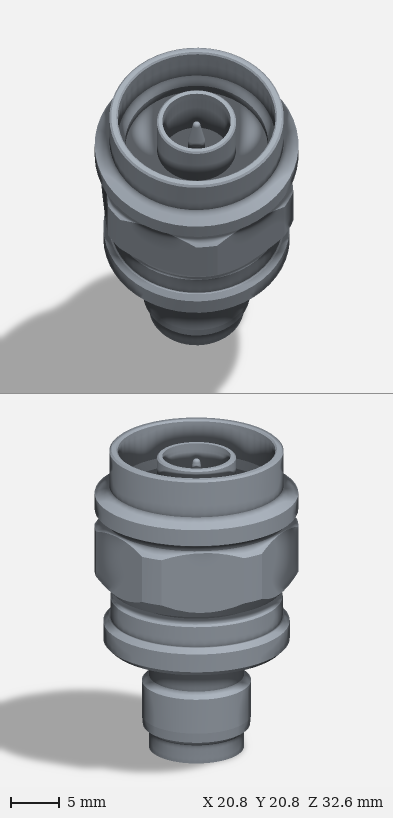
import cadquery as cq
import math


TOTAL_HEIGHT = 32.62

STEM_RADIUS = 4.85
STEM_BAND_RADIUS = 5.58
STEM_BAND_TAPER_RADIUS = 5.48
STEM_BAND_LOWER_CONE_Z = 2.0
STEM_BAND_LOWER_EDGE_Z = 2.5
STEM_BAND_TAPER_Z = 3.55
STEM_BAND_UPPER_EDGE_Z = 7.27
STEM_BAND_TOP_Z = 7.9

FLANGE_RADIUS = 9.53
FLANGE_BOTTOM_Z = 11.32
FLANGE_TOP_Z = 14.32
FLANGE_CHAMFER = 0.52
RING_RADIUS = 8.8
RING_TOP_Z = 16.7
EDGE_CHAMFER = 0.2
NECK_RADIUS = 6.9

BODY_RADIUS = 10.4
HEX_ACROSS_FLATS = 19.02
HEX_BOTTOM_Z = 17.6
HEX_BOTTOM_RADIUS = 8.8
HEX_LOWER_CORNER_Z = 19.28
HEX_UPPER_CORNER_Z = 24.25
HEX_TOP_Z = 25.05

GROOVE_RADIUS = 9.33
GROOVE_TOP_RADIUS = 9.55
GROOVE_TOP_Z = 25.6

COLLAR_BOTTOM_Z = 26.03
COLLAR_EDGE_Z = 27.8
COLLAR_TOP_Z = 28.6
SLEEVE_RADIUS = 8.9

CAVITY_RADIUS = 8.05
CAVITY_MOUTH_CHAMFER = 0.15
CAVITY_FLOOR_RADIUS = 7.3
CAVITY_FLOOR_Z = 27.07
SEAT_TOP_Z = 28.8

TUBE_RADIUS = 4.05
TUBE_CHAMFER = 0.15
TUBE_BORE_RADIUS = 3.5
TUBE_TOP_Z = 31.85
TUBE_FLOOR_Z = 26.03

PIN_RADIUS = 0.88
PIN_TIP_RADIUS = 0.4
PIN_TAPER_Z = 28.55
PIN_TIP_Z = 31.15


def turned(points):
    """Revolve a closed (radius, z) outline about the Z axis."""
    return cq.Workplane("XZ").polyline(points).close().revolve(360, (0, 0), (0, 1))


def make_stem():
    return turned([
        (0, 0),
        (STEM_RADIUS, 0),
        (STEM_RADIUS, STEM_BAND_LOWER_CONE_Z),
        (STEM_BAND_TAPER_RADIUS, STEM_BAND_LOWER_EDGE_Z),
        (STEM_BAND_RADIUS, STEM_BAND_TAPER_Z),
        (STEM_BAND_RADIUS, STEM_BAND_UPPER_EDGE_Z),
        (STEM_RADIUS, STEM_BAND_TOP_Z),
        (STEM_RADIUS, FLANGE_BOTTOM_Z),
        (0, FLANGE_BOTTOM_Z),
    ])


def make_flange():
    flange_face_radius = FLANGE_RADIUS - FLANGE_CHAMFER
    return turned([
        (0, FLANGE_BOTTOM_Z),
        (flange_face_radius, FLANGE_BOTTOM_Z),
        (FLANGE_RADIUS, FLANGE_BOTTOM_Z + FLANGE_CHAMFER),
        (FLANGE_RADIUS, FLANGE_TOP_Z - FLANGE_CHAMFER),
        (flange_face_radius, FLANGE_TOP_Z),
        (RING_RADIUS, FLANGE_TOP_Z),
        (RING_RADIUS, RING_TOP_Z - EDGE_CHAMFER),
        (RING_RADIUS - EDGE_CHAMFER, RING_TOP_Z),
        (NECK_RADIUS, RING_TOP_Z),
        (NECK_RADIUS, HEX_BOTTOM_Z),
        (0, HEX_BOTTOM_Z),
    ])


def make_hexagon():
    """Round blank with conical ends, trimmed to six flats; two flats face -Y and +Y."""
    blank = turned([
        (0, HEX_BOTTOM_Z),
        (HEX_BOTTOM_RADIUS, HEX_BOTTOM_Z),
        (BODY_RADIUS, HEX_LOWER_CORNER_Z),
        (BODY_RADIUS, HEX_UPPER_CORNER_Z),
        (GROOVE_RADIUS, HEX_TOP_Z),
        (0, HEX_TOP_Z),
    ])
    across_corners = HEX_ACROSS_FLATS / math.cos(math.pi / 6)
    prism = (
        cq.Workplane("XY", origin=(0, 0, HEX_BOTTOM_Z))
        .polygon(6, across_corners)
        .extrude(HEX_TOP_Z - HEX_BOTTOM_Z)
    )
    return blank.intersect(prism)


def make_sleeve():
    """Concave groove, collar and the plain sleeve above it, still solid inside."""
    groove_width = GROOVE_TOP_RADIUS - GROOVE_RADIUS
    groove_height = GROOVE_TOP_Z - HEX_TOP_Z
    arc_radius = (groove_width**2 + groove_height**2) / (2 * groove_width)
    half_angle = math.atan2(groove_width, groove_height)
    groove_middle = (
        GROOVE_RADIUS + arc_radius * (1 - math.cos(half_angle)),
        HEX_TOP_Z + arc_radius * math.sin(half_angle),
    )
    return (
        cq.Workplane("XZ")
        .moveTo(0, HEX_TOP_Z)
        .lineTo(GROOVE_RADIUS, HEX_TOP_Z)
        .threePointArc(groove_middle, (GROOVE_TOP_RADIUS, GROOVE_TOP_Z))
        .lineTo(BODY_RADIUS, COLLAR_BOTTOM_Z)
        .lineTo(BODY_RADIUS, COLLAR_EDGE_Z)
        .lineTo(SLEEVE_RADIUS, COLLAR_TOP_Z)
        .lineTo(SLEEVE_RADIUS, TOTAL_HEIGHT - EDGE_CHAMFER)
        .lineTo(SLEEVE_RADIUS - EDGE_CHAMFER, TOTAL_HEIGHT)
        .lineTo(0, TOTAL_HEIGHT)
        .close()
        .revolve(360, (0, 0), (0, 1))
    )


def make_cavity():
    seat_bottom_z = SEAT_TOP_Z - (CAVITY_RADIUS - CAVITY_FLOOR_RADIUS)
    return turned([
        (0, CAVITY_FLOOR_Z),
        (CAVITY_FLOOR_RADIUS, CAVITY_FLOOR_Z),
        (CAVITY_FLOOR_RADIUS, seat_bottom_z),
        (CAVITY_RADIUS, SEAT_TOP_Z),
        (CAVITY_RADIUS, TOTAL_HEIGHT - CAVITY_MOUTH_CHAMFER),
        (CAVITY_RADIUS + CAVITY_MOUTH_CHAMFER, TOTAL_HEIGHT),
        (0, TOTAL_HEIGHT),
    ])


def make_tube():
    return turned([
        (0, CAVITY_FLOOR_Z),
        (TUBE_RADIUS, CAVITY_FLOOR_Z),
        (TUBE_RADIUS, TUBE_TOP_Z - TUBE_CHAMFER),
        (TUBE_RADIUS - TUBE_CHAMFER, TUBE_TOP_Z),
        (0, TUBE_TOP_Z),
    ])


def make_tube_bore():
    return (
        cq.Workplane("XY", origin=(0, 0, TUBE_FLOOR_Z))
        .circle(TUBE_BORE_RADIUS)
        .extrude(TUBE_TOP_Z - TUBE_FLOOR_Z)
    )


def make_pin():
    """Cylindrical pin with a long tapered nose and a hemispherical tip."""
    shaft = turned([
        (0, TUBE_FLOOR_Z),
        (PIN_RADIUS, TUBE_FLOOR_Z),
        (PIN_RADIUS, PIN_TAPER_Z),
        (PIN_TIP_RADIUS, PIN_TIP_Z),
        (0, PIN_TIP_Z),
    ])
    tip = (
        cq.Workplane("XZ")
        .moveTo(0, PIN_TIP_Z)
        .lineTo(PIN_TIP_RADIUS, PIN_TIP_Z)
        .radiusArc((0, PIN_TIP_Z + PIN_TIP_RADIUS), -PIN_TIP_RADIUS)
        .close()
        .revolve(360, (0, 0), (0, 1))
    )
    return shaft.union(tip)


body = make_stem().union(make_flange()).union(make_hexagon()).union(make_sleeve())
socket = body.cut(make_cavity()).union(make_tube()).cut(make_tube_bore())
result = socket.union(make_pin())